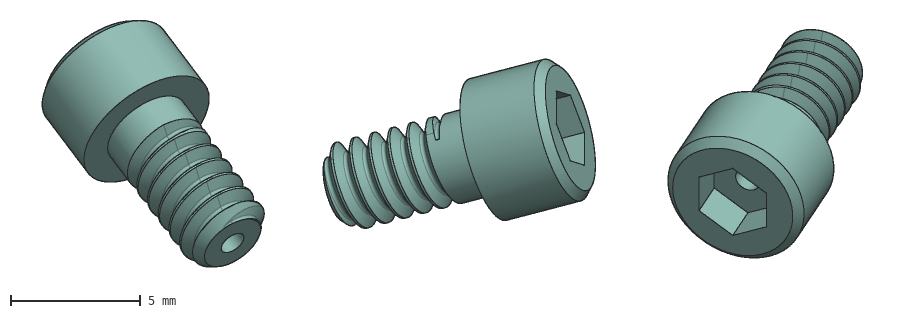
import cadquery as cq
import math

total_length = 9.8
head_length = 3.43
head_radius = 2.82
head_chamfer = 0.33
shank_radius = 1.75
tip_chamfer = 0.49
socket_across_flats = 2.79
socket_depth = 1.57
bore_diameter = 1.02

pitch = 0.79
crest_width = pitch / 8
thread_depth = 0.49
flank_angle = math.radians(30)
thread_start = 5.05
start_angle = 180.0
groove_turns = math.ceil((total_length - thread_start) / pitch) + 1
runout_turns = 0.28
runout_sections = 7
groove_overshoot = 0.04
shallowest_groove = 0.04

opening_half_width = (pitch - crest_width) / 2
apex_radius = shank_radius - opening_half_width / math.tan(flank_angle)
root_radius = shank_radius - thread_depth
root_arc_radius = (root_radius - apex_radius) / (1 / math.sin(flank_angle) - 1)
tangent_half_width = root_arc_radius * math.cos(flank_angle)
tangent_radius = root_radius + root_arc_radius * (1 - math.sin(flank_angle))


def make_blank():
    """Head and plain shank with their chamfers, turned about X."""
    return (
        cq.Workplane("XY")
        .moveTo(0, 0)
        .lineTo(0, head_radius - head_chamfer)
        .lineTo(head_chamfer, head_radius)
        .lineTo(head_length, head_radius)
        .lineTo(head_length, shank_radius)
        .lineTo(total_length - tip_chamfer, shank_radius)
        .lineTo(total_length, shank_radius - tip_chamfer)
        .lineTo(total_length, 0)
        .close()
        .revolve(360, (0, 0, 0), (1, 0, 0))
    )


def groove_section(turns, lift=0.0):
    """Groove outline at a position along the thread, its root raised by lift."""
    outer_radius = shank_radius + groove_overshoot
    outer_half_width = (outer_radius - lift - apex_radius) * math.tan(flank_angle)
    angle = start_angle + 360 * turns
    outline = (
        cq.Workplane("XZ")
        .moveTo(outer_radius, -outer_half_width)
        .lineTo(tangent_radius + lift, -tangent_half_width)
        .threePointArc((root_radius + lift, 0), (tangent_radius + lift, tangent_half_width))
        .lineTo(outer_radius, outer_half_width)
        .close()
    )
    return (
        outline.val()
        .rotate(cq.Vector(0, 0, 0), cq.Vector(0, 0, 1), angle)
        .translate(cq.Vector(0, 0, thread_start + turns * pitch))
    )


def lay_along_x(solid):
    return cq.Workplane(solid.rotate(cq.Vector(0, 0, 0), cq.Vector(0, 1, 0), 90))


def make_groove_turn(turn):
    """One full-depth turn of the groove, counted from the thread start."""
    helix = (
        cq.Wire.makeHelix(pitch, pitch, shank_radius)
        .rotate(cq.Vector(0, 0, 0), cq.Vector(0, 0, 1), start_angle)
        .translate(cq.Vector(0, 0, thread_start + turn * pitch))
    )
    return lay_along_x(cq.Solid.sweep(groove_section(turn), [], helix, True, True))


def make_runout():
    """Groove tail that rises steadily to the shank surface next to the head."""
    sections = []
    for index in range(runout_sections):
        fraction = index / (runout_sections - 1)
        lift = fraction * (thread_depth - shallowest_groove)
        sections.append(groove_section(-fraction * runout_turns, lift))
    return lay_along_x(cq.Solid.makeLoft(sections))


def make_socket():
    """Hexagon with corners pointing along Z."""
    corner_diameter = socket_across_flats / math.cos(math.radians(30))
    return (
        cq.Workplane("YZ")
        .transformed(rotate=(0, 0, 90))
        .polygon(6, corner_diameter)
        .extrude(socket_depth)
    )


bore = cq.Workplane("YZ").circle(bore_diameter / 2).extrude(total_length)

result = make_blank().cut(make_runout())
for turn in range(groove_turns):
    result = result.cut(make_groove_turn(turn))
result = result.cut(make_socket()).cut(bore)